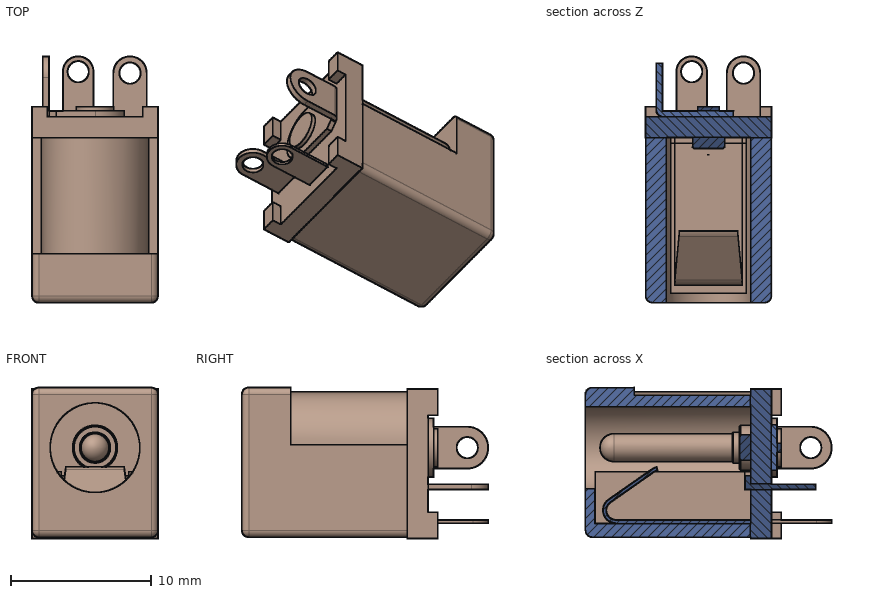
import cadquery as cq
import math


width = 9.0
housing_bottom = 0.1
housing_top = 10.8
housing_length = 11.8
head_length = 3.5
ledge_height = 6.7
barrel_radius = 3.85
edge_radius = 0.5
axis_height = 6.5
barrel_axis_height = 6.65
bore_diameter = 6.4

front_lip = 0.7
pocket_half_width = 2.7
pocket_floor = 1.1
pocket_ceiling = axis_height - math.sqrt((bore_diameter / 2) ** 2 - pocket_half_width**2)

cover_back = 14.0
cover_height = 10.7
corner_width = 1.1
corner_height = 1.9
recess_depth = 0.7
recess_face = cover_back - recess_depth

terminal_end = 17.6
terminal_hole_diameter = 1.5

pin_diameter = 2.0
pin_tip = 1.05
collar_diameter = 2.2
collar_length = 0.5
collar_chamfer = 0.08
shoulder_diameter = 3.2
shoulder_length = 0.8
shoulder_chamfer = 0.1
rivet_diameter = 2.7

plate_thickness = 0.4
plate_radius = 2.1
plate_back = recess_face + plate_thickness
side_tab_thickness = 0.45
side_tab_outer_x = -3.73
side_tab_inner_x = side_tab_outer_x + side_tab_thickness
side_tab_width = 3.0
plate_corner_chamfer = 0.5

spring_thickness = 0.25
spring_tail_x = -1.2
spring_tail_width = 2.2
spring_base_half_width = 2.4
spring_tip_half_width = 2.05
spring_angle = math.radians(35)
front_bend_radius = 0.93
front_bend_center_y = 2.19
tip_bend_radius = 1.1
tip_end_angle = math.radians(15)
spring_peak = 5.12

switch_thickness = 0.4
switch_tab_x = 2.5
switch_tab_width = 2.4
switch_bottom = 3.5
switch_top = 4.79
switch_notch_bottom = 4.51
switch_notch_half_width = 2.4


def block(x_range, y_range, z_range):
    """Box between the given limits."""
    size = [high - low for low, high in (x_range, y_range, z_range)]
    return cq.Workplane("XY").box(*size, centered=False).translate((x_range[0], y_range[0], z_range[0]))


def rod(diameter, y_start, y_end, z=axis_height):
    """Cylinder along Y on the middle plane."""
    return (
        cq.Workplane("XZ", origin=(0, y_start, z))
        .circle(diameter / 2)
        .extrude(y_start - y_end)
    )


def flat_tab(x_center, tab_width, y_start, z_bottom, thickness):
    """Horizontal solder tab with a round end and a hole at the center of the rounding."""
    radius = tab_width / 2
    round_y = terminal_end - radius
    return (
        cq.Workplane("XY", origin=(x_center, 0, z_bottom))
        .moveTo(-radius, y_start)
        .lineTo(-radius, round_y)
        .threePointArc((0, terminal_end), (radius, round_y))
        .lineTo(radius, y_start)
        .close()
        .moveTo(0, round_y)
        .circle(terminal_hole_diameter / 2)
        .extrude(thickness)
    )


def tab_slot(x_center, tab_width, z_bottom, thickness):
    """Opening through the cover for a flat tab."""
    return block(
        (x_center - tab_width / 2, x_center + tab_width / 2),
        (housing_length, cover_back),
        (z_bottom, z_bottom + thickness),
    )


def make_housing():
    x_range = (-width / 2, width / 2)
    body = block(x_range, (0, housing_length), (housing_bottom, housing_top))
    body = body.edges("<Y or (|Y and (<Z or >Z))").fillet(edge_radius)
    body = body.cut(block(x_range, (head_length, housing_length), (ledge_height, housing_top)))
    body = body.union(rod(2 * barrel_radius, head_length, housing_length, barrel_axis_height))
    body = body.cut(rod(bore_diameter, 0, housing_length))
    pocket = block(
        (-pocket_half_width, pocket_half_width),
        (front_lip, housing_length),
        (pocket_floor, pocket_ceiling),
    )
    return body.cut(pocket)


def make_cover():
    half = width / 2
    inner = half - corner_width
    cover = block((-half, half), (housing_length, cover_back), (0, cover_height))
    cover = cover.cut(block((-inner, inner), (recess_face, cover_back), (0, cover_height)))
    cover = cover.cut(
        block((-half, half), (recess_face, cover_back), (corner_height, cover_height - corner_height))
    )
    cover = cover.cut(rod(pin_diameter, housing_length, recess_face))
    cover = cover.cut(tab_slot(spring_tail_x, spring_tail_width, pocket_floor, spring_thickness))
    return cover.cut(tab_slot(switch_tab_x, switch_tab_width, switch_bottom, switch_thickness))


def make_pin():
    radius = pin_diameter / 2
    collar_radius = collar_diameter / 2
    shoulder_radius = shoulder_diameter / 2
    rivet_radius = rivet_diameter / 2
    dome_center = pin_tip + radius
    shoulder_start = housing_length - shoulder_length
    collar_start = shoulder_start - collar_length
    dome_middle = radius * math.sqrt(0.5)
    return (
        cq.Workplane("XY", origin=(0, 0, axis_height))
        .moveTo(0, pin_tip)
        .threePointArc((dome_middle, dome_center - dome_middle), (radius, dome_center))
        .lineTo(radius, collar_start)
        .lineTo(collar_radius - collar_chamfer, collar_start)
        .lineTo(collar_radius, collar_start + collar_chamfer)
        .lineTo(collar_radius, shoulder_start)
        .lineTo(shoulder_radius - shoulder_chamfer, shoulder_start)
        .lineTo(shoulder_radius, shoulder_start + shoulder_chamfer)
        .lineTo(shoulder_radius, housing_length)
        .lineTo(radius, housing_length)
        .lineTo(radius, plate_back)
        .lineTo(rivet_radius, plate_back)
        .lineTo(rivet_radius, cover_back)
        .lineTo(0, cover_back)
        .close()
        .revolve(360, (0, 0), (0, 1))
    )


def make_center_terminal():
    chamfer_x = side_tab_inner_x + plate_corner_chamfer
    chamfer_half_height = plate_radius - plate_corner_chamfer
    plate = (
        cq.Workplane("XZ", origin=(0, recess_face, axis_height))
        .moveTo(0, plate_radius)
        .threePointArc((plate_radius, 0), (0, -plate_radius))
        .lineTo(chamfer_x, -plate_radius)
        .lineTo(side_tab_inner_x, -chamfer_half_height)
        .lineTo(side_tab_inner_x, chamfer_half_height)
        .lineTo(chamfer_x, plate_radius)
        .close()
        .extrude(-plate_thickness)
    )
    bend = (
        cq.Workplane("XY", origin=(0, 0, axis_height - side_tab_width / 2))
        .moveTo(side_tab_inner_x, recess_face)
        .radiusArc((side_tab_outer_x, plate_back), side_tab_thickness)
        .lineTo(side_tab_inner_x, plate_back)
        .close()
        .extrude(side_tab_width)
    )
    radius = side_tab_width / 2
    round_y = terminal_end - radius
    tab = (
        cq.Workplane("YZ", origin=(side_tab_outer_x, 0, axis_height))
        .moveTo(plate_back, -radius)
        .lineTo(round_y, -radius)
        .threePointArc((terminal_end, 0), (round_y, radius))
        .lineTo(plate_back, radius)
        .close()
        .moveTo(round_y, 0)
        .circle(terminal_hole_diameter / 2)
        .extrude(side_tab_thickness)
    )
    return plate.union(bend).union(tab).cut(rod(pin_diameter, recess_face, plate_back))


def bend_point(center, radius, angle):
    """Point in the YZ plane at an angle from straight up, turning towards -Y."""
    return (center[0] - radius * math.sin(angle), center[1] + radius * math.cos(angle))


front_center = (front_bend_center_y, pocket_floor + front_bend_radius)
tip_center_z = spring_peak - tip_bend_radius * math.cos(tip_end_angle)
ramp_rise = (
    bend_point((0, tip_center_z), tip_bend_radius, spring_angle)[1]
    - bend_point(front_center, front_bend_radius, spring_angle)[1]
)
ramp_run = ramp_rise / math.tan(spring_angle)
ramp_start_y = bend_point(front_center, front_bend_radius, spring_angle)[0]
tip_center = (ramp_start_y + ramp_run + tip_bend_radius * math.sin(spring_angle), tip_center_z)


def make_spring_contact():
    front_inner = front_bend_radius - spring_thickness
    tip_middle_angle = (spring_angle + tip_end_angle) / 2
    tip_inner = tip_bend_radius - spring_thickness
    strip = (
        cq.Workplane("YZ", origin=(-spring_base_half_width, 0, 0))
        .moveTo(housing_length, pocket_floor)
        .lineTo(front_bend_center_y, pocket_floor)
        .threePointArc(
            bend_point(front_center, front_bend_radius, math.pi / 2),
            bend_point(front_center, front_bend_radius, spring_angle),
        )
        .lineTo(*bend_point(tip_center, tip_bend_radius, spring_angle))
        .threePointArc(
            bend_point(tip_center, tip_bend_radius, tip_middle_angle),
            bend_point(tip_center, tip_bend_radius, tip_end_angle),
        )
        .lineTo(*bend_point(tip_center, tip_inner, tip_end_angle))
        .threePointArc(
            bend_point(tip_center, tip_inner, tip_middle_angle),
            bend_point(tip_center, tip_inner, spring_angle),
        )
        .lineTo(*bend_point(front_center, front_inner, spring_angle))
        .threePointArc(
            bend_point(front_center, front_inner, math.pi / 2),
            (front_bend_center_y, pocket_floor + spring_thickness),
        )
        .lineTo(housing_length, pocket_floor + spring_thickness)
        .close()
        .extrude(2 * spring_base_half_width)
    )
    for side in (-1, 1):
        trim = (
            cq.Workplane("XY", origin=(0, 0, pocket_floor + spring_thickness))
            .moveTo(side * spring_base_half_width, ramp_start_y)
            .lineTo(side * spring_base_half_width, tip_center[0])
            .lineTo(side * spring_tip_half_width, tip_center[0])
            .close()
            .extrude(spring_peak)
        )
        strip = strip.cut(trim)
    tail = flat_tab(spring_tail_x, spring_tail_width, housing_length, pocket_floor, spring_thickness)
    return strip.union(tail)


def make_switch_contact():
    plate_y = (housing_length - switch_thickness, housing_length)
    plate = block((-pocket_half_width, pocket_half_width), plate_y, (switch_bottom, switch_top))
    plate = plate.cut(
        block(
            (-switch_notch_half_width, switch_notch_half_width),
            plate_y,
            (switch_notch_bottom, switch_top),
        )
    )
    tab = flat_tab(switch_tab_x, switch_tab_width, housing_length, switch_bottom, switch_thickness)
    return plate.union(tab)


housing = make_housing()
cover = make_cover()
pin = make_pin()
center_terminal = make_center_terminal()
spring_contact = make_spring_contact()
switch_contact = make_switch_contact()

result = cq.Compound.makeCompound(
    [
        housing.val(),
        cover.val(),
        pin.val(),
        center_terminal.val(),
        spring_contact.val(),
        switch_contact.val(),
    ]
)